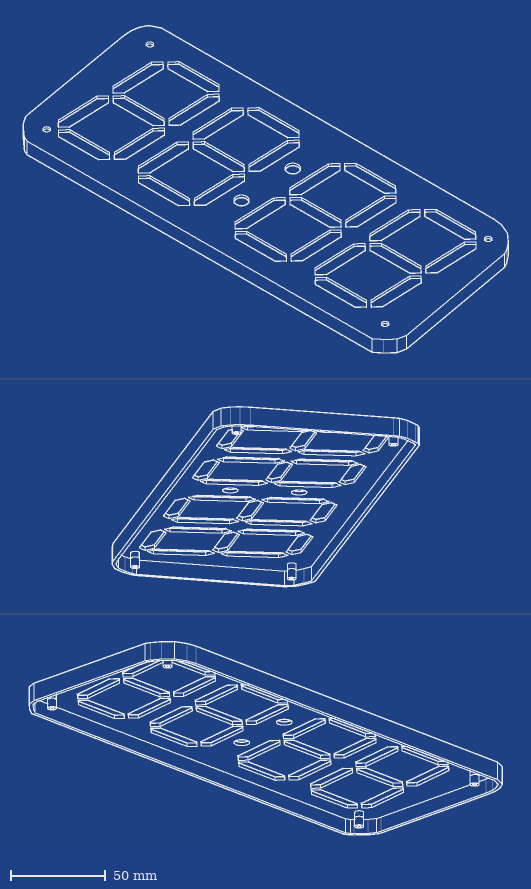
import cadquery as cq
import math

length = 261.5
width = 112.0
height = 10.0
face_thickness = 2.0
rim_thickness = 2.0

layout_x = 0.3
layout_y = -0.3

slant = math.tan(math.radians(8))
digit_centers_x = (-88.0, -33.2, 33.2, 88.0)
segment_pitch = 38.5
segment_length = 35.0
segment_width = 7.8

colon_diameter = 8.0
colon_offset_y = 18.0

screw_x = 116.0
screw_y = 42.4
boss_diameter = 4.7
pilot_hole_diameter = 2.0
screw_hole_diameter = 4.0
screw_hole_depth = height / 2

left = -length / 2
right = length / 2
bottom = -width / 2
top = width / 2
underside_z = height - face_thickness

outline = [
    (left, bottom + 17.0),
    (left, top - 17.5),
    (left + 0.5, top - 12.0),
    (left + 2.0, top - 7.3),
    (left + 5.0, top - 3.0),
    (left + 11.5, top),
    (right - 21.7, top),
    (right - 16.0, top - 0.8),
    (right - 9.5, top - 3.7),
    (right - 4.7, top - 8.5),
    (right - 1.5, top - 13.9),
    (right - 0.5, top - 16.7),
    (right, bottom + 14.0),
    (right - 2.0, bottom + 8.5),
    (right - 7.3, bottom + 4.0),
    (right - 12.3, bottom + 0.5),
    (left + 12.8, bottom),
    (left + 9.7, bottom + 1.5),
    (left + 8.0, bottom + 3.1),
    (left + 3.0, bottom + 8.5),
    (left + 0.3, bottom + 13.5),
]


def lean(x, y):
    """Shear a point sideways by the digit slant."""
    return (x + slant * y, y)


def segment_cutter(digit_x, center_x, center_y, upright):
    """Slanted hexagonal bar, pointed at both ends."""
    tip = segment_length / 2
    half_width = segment_width / 2
    shoulder = tip - half_width
    bar = [
        (-tip, 0),
        (-shoulder, half_width),
        (shoulder, half_width),
        (tip, 0),
        (shoulder, -half_width),
        (-shoulder, -half_width),
    ]
    if upright:
        bar = [(y, x) for x, y in bar]
    points = [lean(center_x + x, center_y + y) for x, y in bar]
    plane = cq.Workplane("XY").center(layout_x + digit_x, layout_y)
    return plane.polyline(points).close().extrude(height)


def digit_cutter(digit_x):
    """All seven segments of one digit."""
    half_pitch = segment_pitch / 2
    cutter = cq.Workplane("XY")
    for row in (-1, 0, 1):
        cutter = cutter.add(segment_cutter(digit_x, 0, row * segment_pitch, False))
    for column in (-1, 1):
        for row in (-1, 1):
            cutter = cutter.add(segment_cutter(digit_x, column * half_pitch, row * half_pitch, True))
    return cutter.combine()


result = cq.Workplane("XY").polyline(outline).close().extrude(height)
cavity = cq.Workplane("XY").polyline(outline).close().offset2D(-rim_thickness).extrude(underside_z)
result = result.cut(cavity)

screw_points = [
    (layout_x + side_x * screw_x, side_y * screw_y)
    for side_x in (-1, 1)
    for side_y in (-1, 1)
]
bosses = cq.Workplane("XY").pushPoints(screw_points).circle(boss_diameter / 2).extrude(height)
result = result.union(bosses)
result = (
    result.faces(">Z")
    .workplane(origin=(0, 0, height))
    .pushPoints(screw_points)
    .cboreHole(pilot_hole_diameter, screw_hole_diameter, screw_hole_depth)
)

for digit_x in digit_centers_x:
    result = result.cut(digit_cutter(digit_x))

colon_points = [lean(0, colon_offset_y), lean(0, -colon_offset_y)]
colon_plane = cq.Workplane("XY").center(layout_x, layout_y)
colon = colon_plane.pushPoints(colon_points).circle(colon_diameter / 2).extrude(height)
result = result.cut(colon)